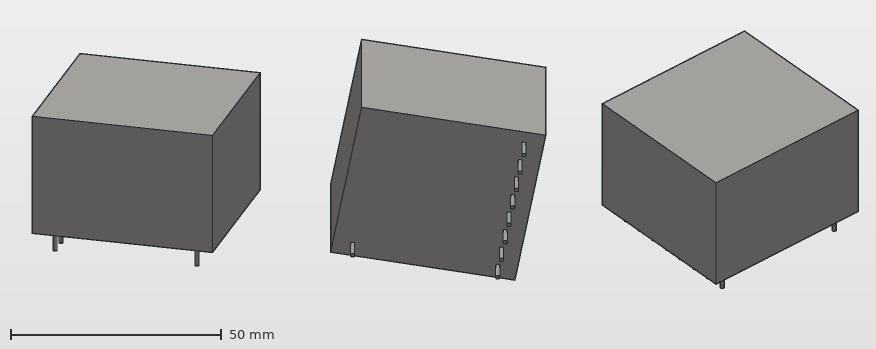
import cadquery as cq

length_x = 44.5
width_y = 41.5
total_height = 35.0
pin_length = 5.05
housing_height = total_height - pin_length

pin_diameter = 1.0
row_pin_count = 8
row_span = 35.0
pin_pitch = row_span / (row_pin_count - 1)
row_distance = 35.0
moulded_pin_count = 4

row_x = -row_distance / 2
opposite_x = row_distance / 2
row_start_y = -row_span / 2
loose_row_count = row_pin_count - moulded_pin_count

row_points = [(row_x, row_start_y + i * pin_pitch) for i in range(row_pin_count)]
moulded_points = row_points[loose_row_count:]
loose_points = row_points[:loose_row_count] + [(opposite_x, row_start_y)]


def make_pin(x, y):
    """A round pin running down from the underside of the housing at Z = 0."""
    return cq.Workplane("XY", origin=(x, y, 0)).circle(pin_diameter / 2).extrude(-pin_length)


def make_housing():
    """The rectangular block, together with the pins moulded onto it."""
    housing = cq.Workplane("XY").box(length_x, width_y, housing_height, centered=(True, True, False))
    for x, y in moulded_points:
        housing = housing.union(make_pin(x, y))
    return housing


housing = make_housing()
loose_pins = [make_pin(x, y) for x, y in loose_points]

result = cq.Compound.makeCompound([housing.val().Solids()[0], *[pin.val() for pin in loose_pins]])